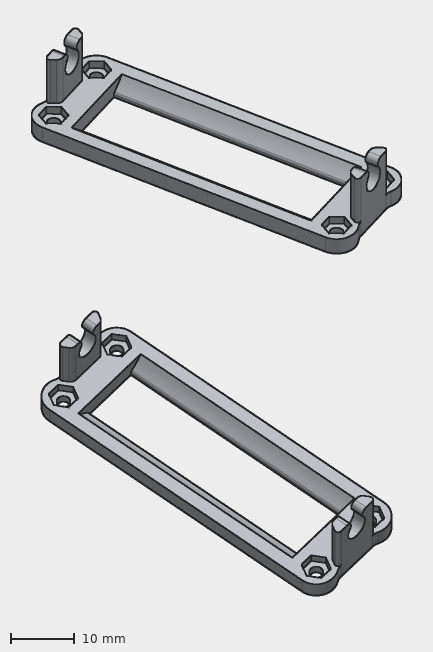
import cadquery as cq
import math

length = 59.0
width = 20.0
height = 12.0
plate_thickness = 3.0

corner_radius = 3.5
screw_x = length / 2 - corner_radius
screw_y = width / 2 - corner_radius
screw_diameter = 2.2
nut_across_flats = 4.1
nut_depth = 1.5
nut_turn = 30.0

end_face_x = 28.85
end_face_half_width = 3.85

post_depth = 2.3
post_outer_half_width = 4.85
post_side_angle = 30.0
post_outer_round = 0.6
post_inner_round = 1.2

axis_z = 8.95
clip_radius = 2.05
lip_radius = 1.0
lip_center_y = 2.35
cradle_radius = 9.7

window_length = 44.0
window_width = 10.4
window_edge_round = 0.5
pick_margin = 0.05


def make_plate():
    """Plate whose corner arcs blend through concave arcs into the end faces."""
    offset_x = end_face_x - screw_x
    offset_y = screw_y - end_face_half_width
    blend_radius = (offset_x**2 + offset_y**2 - corner_radius**2) / (2 * (corner_radius - offset_x))
    blend_x = end_face_x + blend_radius
    center_distance = corner_radius + blend_radius
    to_blend_x = (blend_x - screw_x) / center_distance
    to_blend_y = -offset_y / center_distance
    join = (screw_x + corner_radius * to_blend_x, screw_y + corner_radius * to_blend_y)

    blend_angle = math.atan2(offset_y, blend_x - screw_x)
    blend_mid = (
        blend_x - blend_radius * math.cos(blend_angle / 2),
        end_face_half_width + blend_radius * math.sin(blend_angle / 2),
    )
    quarter = (
        cq.Workplane("XY")
        .moveTo(0, 0)
        .lineTo(end_face_x, 0)
        .lineTo(end_face_x, end_face_half_width)
        .threePointArc(blend_mid, join)
        .threePointArc((length / 2, screw_y), (screw_x, width / 2))
        .lineTo(0, width / 2)
        .close()
        .extrude(plate_thickness)
    )
    half = quarter.union(quarter.mirror("XZ"))
    return half.union(half.mirror("YZ")).clean()


def make_window():
    """Cutter for the window, with a cylindrical cradle along its long edges."""
    cradle = (
        cq.Workplane("YZ")
        .center(0, axis_z)
        .circle(cradle_radius)
        .extrude(window_length / 2, both=True)
    )
    below_cradle = (
        cq.Workplane("XY")
        .box(window_length, window_width, axis_z, centered=(True, True, False))
        .translate((0, 0, -axis_z / 2))
    )
    crest_z = axis_z - math.sqrt(cradle_radius**2 - (window_width / 2) ** 2)
    crest = cq.selectors.BoxSelector(
        (-window_length, -window_width, crest_z - pick_margin),
        (window_length, window_width, crest_z + pick_margin),
    )
    return cradle.union(below_cradle).edges(crest).fillet(window_edge_round)


def make_post():
    """Clip post at the +X end, with angled sides and rounded upright edges."""
    inner_x = end_face_x - post_depth
    slope = math.tan(math.radians(post_side_angle))
    inner_half_width = post_outer_half_width - post_depth * slope
    post = (
        cq.Workplane("XY")
        .polyline([
            (inner_x, -inner_half_width),
            (end_face_x, -post_outer_half_width),
            (end_face_x, post_outer_half_width),
            (inner_x, inner_half_width),
        ])
        .close()
        .extrude(height)
    )
    post = post.edges("|Z and >X").fillet(post_outer_round)
    post = post.edges("|Z and <X").fillet(post_inner_round)
    return post.cut(make_snap_opening())


def make_snap_opening():
    """Cutter for the round seat and the mouth between two rounded lips."""
    lip_center_z = height - lip_radius
    seat = cq.Workplane("YZ").center(0, axis_z).circle(clip_radius).extrude(length)
    mouth = (
        cq.Workplane("YZ")
        .polyline([
            (0, axis_z),
            (lip_center_y, lip_center_z),
            (lip_center_y, height),
            (-lip_center_y, height),
            (-lip_center_y, lip_center_z),
        ])
        .close()
        .extrude(length)
    )
    lips = (
        cq.Workplane("YZ")
        .pushPoints([(-lip_center_y, lip_center_z), (lip_center_y, lip_center_z)])
        .circle(lip_radius)
        .extrude(length)
    )
    return seat.union(mouth.cut(lips))


def make_screw_holes():
    """Cutter for the four screw holes and their hexagonal nut pockets."""
    centers = [(sx * screw_x, sy * screw_y) for sx in (-1, 1) for sy in (-1, 1)]
    holes = cq.Workplane("XY").pushPoints(centers).circle(screw_diameter / 2).extrude(height)
    nut_across_corners = nut_across_flats / math.cos(math.pi / 6)
    nut = (
        cq.Workplane("XY")
        .polygon(6, nut_across_corners)
        .extrude(nut_depth)
        .rotate((0, 0, 0), (0, 0, 1), nut_turn)
        .translate((0, 0, plate_thickness - nut_depth))
    )
    for x, y in centers:
        holes = holes.union(nut.translate((x, y, 0)))
    return holes


post = make_post()
plate = make_plate().cut(make_window()).cut(make_screw_holes())
result = plate.union(post).union(post.mirror("YZ"))